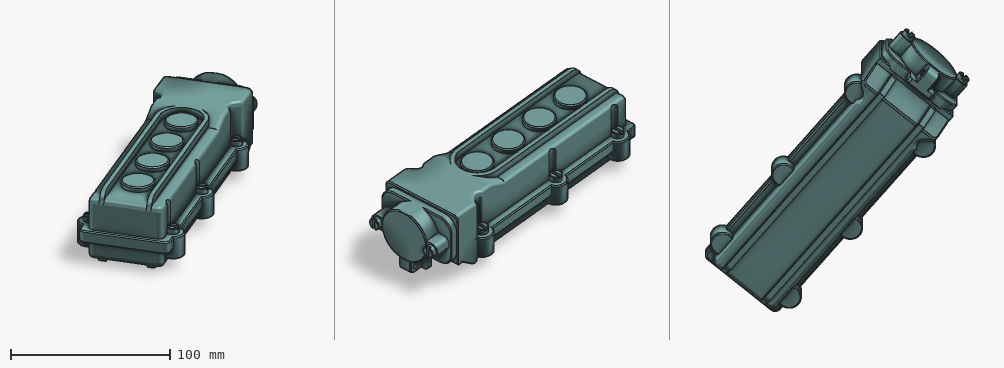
import cadquery as cq
import math


wide_half = 30.0
narrow_half = 24.8
front_y = 2.9
rear_y = 173.5
corner_r = 4.0
edge_r = 4.0
bottom_edge_r = 3.0
small_chamfer = 0.8

top_z = 50.5
deck_z = 45.5
bottom_z = 2.9
rear_bottom_z = 12.5
ramp_front_y = 120.5
ramp_rear_y = 133.5
ramp_crease_r = 4.0
slope_front_y = 156.2
slope_rear_y = 169.3

flange_z = (14.5, 23.2)
flange_chamfer = 1.2
ear_x = 27.38
ear_ys = (16.0, 75.9, 147.0)
ear_r = 35.0 - ear_x
ear_bottom_z = 7.5
rear_web_l = 9.0
head_r = 4.0
head_h = 4.0
head_chamfer = 0.48
slot_w = 2.1
slot_depth = 1.7
clearance_r = 4.3

lead_angle = math.radians(36)
lead_corner_r = 3.9
hollow_corner_r = 2.0

panel_half = 14.03
rim_w = 3.0
rim_end_r = 9.5
button_r = 10.6
button_top_z = 49.0
button_chamfer = 0.8
button_count = 4
button_pitch = 30.0
panel_arc_y = 119.8

rail_inner_x = 14.1
rail_w = 3.9
rail_rear_y = 169.9
rail_rear_z = 8.3
rail_slope_y = 158.5
rail_end_r = 6.8

gland_z = 30.48
gland_half_h = 18.1
barrel_r = 18.8
gland_rear_y = 189.8
barrel_rear_y = 190.5
plate_rear_y = 178.6
plate_half = 29.0
plate_corner_r = 9.9
lug_half = 4.8
lug_foot_half = 9.7
lug_bottom_z = 1.5
lug_front_y = 175.1
lug_corner_r = 4.5
lug_foot_chamfer = 1.5
lug_hole_r = 2.1
lug_hole_y = 184.8
lug_hole_z = 6.5
gland_ear_x = 22.3
gland_ear_r = 5.0
gland_screw_r = 3.97
gland_screw_end_y = 193.5


def block(x0, x1, y0, y1, z0, z1):
    """Axis-aligned box between opposite corners."""
    return cq.Workplane("XY").box(x1 - x0, y1 - y0, z1 - z0, centered=False).translate((x0, y0, z0))


def rod_z(x, y, radius, z0, z1):
    """Upright cylinder."""
    return cq.Workplane("XY", origin=(x, y, z0)).circle(radius).extrude(z1 - z0)


def rear_plane(y):
    """Workplane facing +Y; its local x runs along -X and its origin sits on the gland axis."""
    return cq.Workplane("XZ", origin=(0, y, gland_z)).transformed(rotate=(0, 180, 0))


def ear_points():
    return [(side * ear_x, y) for side in (-1, 1) for y in ear_ys]


def housing_outline():
    """Narrow front, wide rear, joined by a slanted wall and a hollow around each rear screw."""
    screw_y = ear_ys[-1]
    tangent = (ear_x - clearance_r * math.sin(lead_angle), screw_y + clearance_r * math.cos(lead_angle))
    wide_y = tangent[1] + (wide_half - tangent[0]) * math.tan(lead_angle)
    hollow_y = screw_y - math.sqrt(clearance_r**2 - (ear_x - narrow_half) ** 2)
    return (
        cq.Workplane("XY", origin=(0, 0, bottom_z))
        .moveTo(-narrow_half, front_y)
        .lineTo(narrow_half, front_y)
        .lineTo(narrow_half, hollow_y)
        .threePointArc((ear_x - clearance_r, screw_y), tangent)
        .lineTo(wide_half, wide_y)
        .lineTo(wide_half, rear_y)
        .lineTo(-wide_half, rear_y)
        .lineTo(-wide_half, wide_y)
        .lineTo(-tangent[0], tangent[1])
        .threePointArc((clearance_r - ear_x, screw_y), (-narrow_half, hollow_y))
        .close()
    )


def profile_cut(points):
    """Full-width prism with a profile of (Y, Z) points."""
    return cq.Workplane("YZ").polyline(points).close().extrude(wide_half + 2, both=True)


def top_edges(body):
    """Outer edges of deck, ramp and top, without the rear edge and the creases across the part."""

    def is_outer(edge):
        mid = edge.positionAt(0.5)
        box = edge.BoundingBox()
        across = abs(mid.x) < 0.02 and mid.y > front_y + 0.02
        upright = box.xlen < 0.02 and box.ylen < 0.02
        return mid.z > deck_z - 0.02 and not across and not upright

    return body.edges().filter(is_outer)


def underside_edges(body):
    """Long edges where the side walls meet the rear slope."""
    return body.edges().filter(
        lambda edge: edge.Center().z < rear_bottom_z - 0.02
        and abs(edge.Center().x) > wide_half - 0.02
        and edge.BoundingBox().ylen > small_chamfer
    )


def round_upright_edges(body):
    """Round the front corners and both bends of each wall beside the rear screws."""
    screw_y = ear_ys[-1]
    body = body.edges("|Z").edges("<Y").fillet(corner_r)
    lead_corners = body.edges("|Z").filter(
        lambda edge: abs(edge.Center().x) > wide_half - 0.02 and edge.Center().y < slope_front_y
    )
    body = lead_corners.fillet(lead_corner_r)
    hollow_corners = body.edges("|Z").filter(
        lambda edge: abs(abs(edge.Center().x) - narrow_half) < 0.02
        and screw_y - clearance_r < edge.Center().y < screw_y
    )
    return hollow_corners.fillet(hollow_corner_r)


def cut_deck(body):
    """Lower the button deck in front of the ramp and soften the crease above the ramp."""
    above = top_z + 2
    profile = [
        (0, deck_z),
        (ramp_front_y, deck_z),
        (ramp_rear_y, top_z),
        (ramp_rear_y, above),
        (0, above),
    ]
    body = body.cut(profile_cut(profile))
    crease = body.edges("|X").edges(cq.selectors.NearestToPointSelector((0, ramp_rear_y, top_z)))
    return crease.fillet(ramp_crease_r)


def cut_rear_slope(body):
    """Slope the underside up towards the gland and break its side edges."""
    behind = rear_y + 2
    profile = [
        (slope_front_y, bottom_z),
        (slope_rear_y, rear_bottom_z),
        (behind, rear_bottom_z),
        (behind, 0),
        (slope_front_y, 0),
    ]
    return underside_edges(body.cut(profile_cut(profile))).chamfer(small_chamfer)


def cut_screw_clearances(body):
    """Upright grooves that let a screwdriver reach the cover screws."""
    for x, y in ear_points():
        body = body.cut(rod_z(x, y, clearance_r, flange_z[1], top_z))
    return body


def make_housing():
    """Main shell with its rounded edges, before panel, rails and fittings."""
    body = round_upright_edges(housing_outline().extrude(top_z - bottom_z))
    body = body.faces("<Z").edges("not >Y").fillet(bottom_edge_r)
    body = cut_rear_slope(cut_deck(body))
    body = top_edges(body).fillet(edge_r)
    body = body.faces(">Y").edges().chamfer(small_chamfer)
    return cut_screw_clearances(body)


def u_prism(half, z0):
    """Prism up to the top face: straight sides closed by a half circle towards the rear."""
    return (
        cq.Workplane("XY", origin=(0, 0, z0))
        .moveTo(-half, front_y)
        .lineTo(half, front_y)
        .lineTo(half, panel_arc_y)
        .threePointArc((0, panel_arc_y + half), (-half, panel_arc_y))
        .close()
        .extrude(top_z - z0)
    )


def add_panel(body):
    """Recessed panel inside a raised rim, with a row of round buttons."""
    rim_base_z = top_z - rim_end_r
    rim = u_prism(panel_half + rim_w, rim_base_z).edges("|X and <Y and >Z").fillet(rim_end_r - 0.02)
    rim = rim.cut(u_prism(panel_half, rim_base_z))
    body = body.union(rim).cut(u_prism(panel_half, deck_z))
    for index in range(button_count):
        button = rod_z(0, panel_arc_y - index * button_pitch, button_r, deck_z - 2, button_top_z)
        body = body.union(button.faces(">Z").chamfer(button_chamfer))
    return body


def add_rails(body):
    """Pair of rails along the underside that climb the rear slope."""
    profile = [
        (rail_rear_y, rear_bottom_z),
        (rail_rear_y, rail_rear_z),
        (rail_slope_y, 0),
        (front_y, 0),
        (front_y, rear_bottom_z),
    ]
    for x in (rail_inner_x, -rail_inner_x - rail_w):
        rail = cq.Workplane("YZ", origin=(x, 0, 0)).polyline(profile).close().extrude(rail_w)
        body = body.union(rail.edges("|X and <Y and <Z").fillet(rail_end_r))
    return body


def make_flange():
    """Seam flange with six screw ears; webs tie the rear ears to the wide part of the housing."""
    low, high = flange_z
    flange = block(-wide_half, wide_half, 0, ear_ys[-1] + ear_r, low, high)
    flange = flange.edges("|Z and <Y").fillet(corner_r)
    flange = flange.faces("<Z").edges("not >Y").chamfer(flange_chamfer)
    for x, y in ear_points():
        ear = rod_z(x, y, ear_r, ear_bottom_z, high)
        flange = flange.union(ear.faces("<Z").chamfer(small_chamfer))
    flange = flange.faces(">Z").edges("not >Y").chamfer(small_chamfer)
    web_y = ear_ys[-1]
    for x0, x1 in ((narrow_half, wide_half), (-wide_half, -narrow_half)):
        flange = flange.union(block(x0, x1, web_y, web_y + rear_web_l, ear_bottom_z, high))
    return flange


def make_cover_screw(x, y):
    """Slotted screw head standing on a screw ear."""
    seat = flange_z[1]
    head_top = seat + head_h
    head = rod_z(x, y, head_r, seat - 2, head_top).faces(">Z").chamfer(head_chamfer)
    half_slot = slot_w / 2
    return head.cut(block(x - head_r, x + head_r, y - half_slot, y + half_slot, head_top - slot_depth, head_top))


def make_gland():
    """Cable gland: mounting plate, flat-topped barrel with two screw ears, and bottom lug."""
    top = gland_z + gland_half_h
    bottom = gland_z - gland_half_h
    gland = block(-plate_half, plate_half, rear_y - 2, plate_rear_y, bottom, top)
    gland = gland.edges("|Y").fillet(plate_corner_r).faces(">Y").chamfer(small_chamfer)
    barrel = rear_plane(rear_y).circle(barrel_r).extrude(barrel_rear_y - rear_y)
    barrel = barrel.faces(">Y").chamfer(small_chamfer)
    barrel = barrel.intersect(block(-barrel_r, barrel_r, rear_y, barrel_rear_y, bottom, top))
    gland = gland.union(barrel)
    ears = rear_plane(rear_y).slot2D(2 * (gland_ear_x + gland_ear_r), 2 * gland_ear_r)
    gland = gland.union(ears.extrude(gland_rear_y - rear_y))
    lug = block(-lug_half, lug_half, lug_front_y, gland_rear_y, lug_bottom_z, gland_z)
    lug = lug.edges("|X and >Y and <Z").fillet(lug_corner_r)
    lug = lug.edges("|Y and <Z").chamfer(small_chamfer)
    foot = block(-lug_foot_half, lug_foot_half, lug_front_y, plate_rear_y, lug_bottom_z, gland_z)
    lug = lug.union(foot.edges("|Y and <Z").chamfer(lug_foot_chamfer))
    hole = cq.Workplane("YZ").center(lug_hole_y, lug_hole_z).circle(lug_hole_r).extrude(lug_half, both=True)
    gland = gland.union(lug).cut(hole)
    for side in (-1, 1):
        gland = gland.union(make_gland_screw(side * gland_ear_x))
    return gland


def make_gland_screw(x):
    """Slotted screw head on the rear of a gland ear."""
    screw = rear_plane(rear_y).center(-x, 0).circle(gland_screw_r).extrude(gland_screw_end_y - rear_y)
    screw = screw.faces(">Y").chamfer(head_chamfer)
    slot = block(
        x - slot_w / 2,
        x + slot_w / 2,
        gland_screw_end_y - slot_depth,
        gland_screw_end_y,
        gland_z - gland_screw_r,
        gland_z + gland_screw_r,
    )
    return screw.cut(slot)


housing = add_rails(add_panel(make_housing()))
result = housing.union(make_flange()).union(make_gland())
for screw_x, screw_y in ear_points():
    result = result.union(make_cover_screw(screw_x, screw_y))